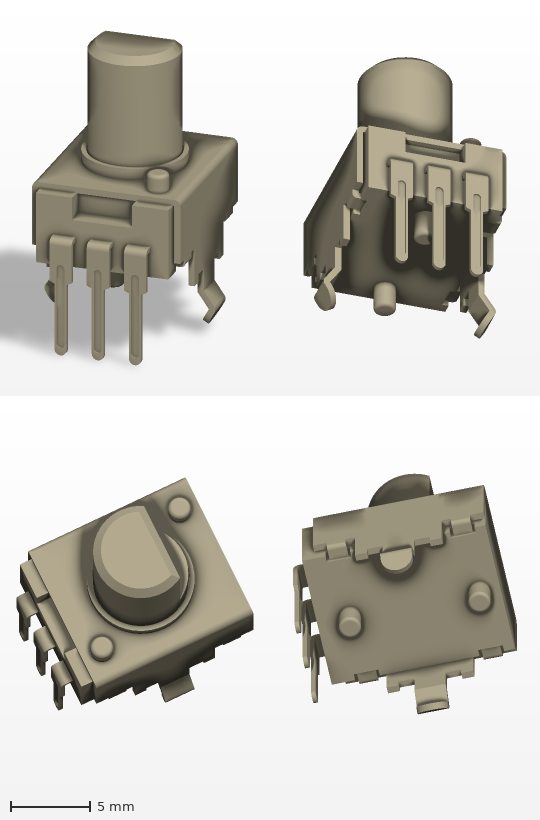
import cadquery as cq
import math


OVERALL_HEIGHT = 18.99

COVER_WIDTH = 9.9
COVER_DEPTH = 11.01
SHEET = 0.42
FOLD_RADIUS = 0.4
WALL_BOTTOM = -4.31

SKIRT_WIDTH = 5.58
SKIRT_BOTTOM = -6.87
NOTCH_WIDTH = 4.03
NOTCH_TOP = -6.36

CLIP_WIDTH = 2.01
CLIP_REACH = 5.7
CLIP_BEND_Z = -8.01
CLIP_TIP_LENGTH = 1.27
LEG_ANGLE = math.radians(55)
TIP_ANGLE = math.radians(60)

TAB_WIDTH = 1.22
TAB_SPACING = 8.01
TAB_TOP = -4.48
TAB_RADIUS = 0.28
TAB_GROOVE_WIDTH = 1.6
TAB_GROOVE_TOP = -4.45
TAB_GROOVE_DEPTH = SHEET

HOUSING_WIDTH = 8.85
HOUSING_BACK = COVER_DEPTH / 2
HOUSING_FRONT = -6.3
HOUSING_TOP = -SHEET
HOUSING_BOTTOM = -5.13
POCKET_WIDTH = 3.99
POCKET_FLOOR = -1.94
POCKET_DEPTH = 1.3

SHAFT_RADIUS = 3.0
SHAFT_TOP = 8.09
SHAFT_CHAMFER = 0.5
FLAT_OFFSET = 1.5
FLAT_BOTTOM = 2.13
COLLAR_RADIUS = 3.4
COLLAR_HEIGHT = 0.76
SHAFT_CLEARANCE = 0.08

PEG_RADIUS = 0.7
PEG_Y = 4.18
TOP_PEG_X = 3.0
TOP_PEG_HEIGHT = 1.18
TOP_PEG_ROUND = 0.25
BOTTOM_PEG_LENGTH = 1.73
BOTTOM_PEG_ROUND = 0.2

TERMINAL_COUNT = 3
TERMINAL_PITCH = 2.49
TERMINAL_SHEET = 0.28
TERMINAL_FRONT = -7.14
TERMINAL_TOP = -3.05
TERMINAL_BOTTOM = SHAFT_TOP - OVERALL_HEIGHT
BEND_RADIUS = 0.4
SHOULDER_WIDTH = 1.48
SHOULDER_BOTTOM = -5.9
PIN_WIDTH = 0.8
PIN_TOP = -6.05
GROOVE_WIDTH = 0.51
GROOVE_TOP = -4.75
GROOVE_BOTTOM = -10.4
GROOVE_DEPTH = 0.13


def block(x_range, y_range, z_range):
    """Box between two limits on each axis."""
    size = [high - low for low, high in (x_range, y_range, z_range)]
    corner = (x_range[0], y_range[0], z_range[0])
    return cq.Workplane("XY").box(*size, centered=False).translate(corner)


def centred_slab(width, y_range, z_range):
    """Box centred on X = 0."""
    return block((-width / 2, width / 2), y_range, z_range)


def make_spring_clip():
    """Clip on the +X side: a kinked strip with a round-ended tip."""
    outer_x = COVER_WIDTH / 2
    inner_x = outer_x - SHEET
    elbow_x = CLIP_REACH - SHEET
    elbow_z = CLIP_BEND_Z - (elbow_x - inner_x) * math.tan(LEG_ANGLE)
    outer_bend_z = CLIP_BEND_Z + SHEET * math.tan((math.pi / 2 - LEG_ANGLE) / 2)
    tip_dx = math.cos(TIP_ANGLE)
    tip_dz = -math.sin(TIP_ANGLE)

    def elbow_point(angle):
        """Point on the outside of the elbow, an arc centred on its inside corner."""
        return (elbow_x + SHEET * math.cos(angle), elbow_z + SHEET * math.sin(angle))

    def along_tip(start, distance):
        """Point a given distance from the start towards the end of the tip."""
        return (start[0] - distance * tip_dx, start[1] + distance * tip_dz)

    arc_start = elbow_point(math.pi / 2 - LEG_ANGLE)
    arc_end = elbow_point(TIP_ANGLE - math.pi / 2)
    inner_tip = along_tip((elbow_x, elbow_z), CLIP_TIP_LENGTH)
    outer_tip = along_tip(arc_end, CLIP_TIP_LENGTH)

    strip = (
        cq.Workplane("XZ")
        .moveTo(inner_x, NOTCH_TOP)
        .lineTo(outer_x, NOTCH_TOP)
        .lineTo(outer_x, outer_bend_z)
        .lineTo(*arc_start)
        .threePointArc(elbow_point(0), arc_end)
        .lineTo(*outer_tip)
        .lineTo(*inner_tip)
        .lineTo(elbow_x, elbow_z)
        .lineTo(inner_x, CLIP_BEND_Z)
        .close()
        .extrude(CLIP_WIDTH / 2, both=True)
    )
    half_width = CLIP_WIDTH / 2
    round_x, round_z = along_tip((elbow_x, elbow_z), CLIP_TIP_LENGTH - half_width)
    tip_plane = cq.Plane(
        origin=(round_x, 0, round_z),
        xDir=(-tip_dx, 0, tip_dz),
        normal=(-tip_dz, 0, -tip_dx),
    )
    cut_depth = 2 * SHEET
    corners = (
        cq.Workplane(tip_plane)
        .center(half_width / 2, 0)
        .rect(half_width, CLIP_WIDTH)
        .extrude(cut_depth, both=True)
        .cut(cq.Workplane(tip_plane).circle(half_width).extrude(cut_depth, both=True))
    )
    return strip.cut(corners)


def make_cover_wall():
    """Wall on the +X side with its skirt, folded tabs and spring clip."""
    outer_x = COVER_WIDTH / 2
    inner_x = outer_x - SHEET
    sheet_x = (inner_x, outer_x)

    wall = block(sheet_x, (-COVER_DEPTH / 2, COVER_DEPTH / 2), (WALL_BOTTOM, -SHEET))
    skirt = block(sheet_x, (-SKIRT_WIDTH / 2, SKIRT_WIDTH / 2), (SKIRT_BOTTOM, WALL_BOTTOM))
    notch = block(sheet_x, (-NOTCH_WIDTH / 2, NOTCH_WIDTH / 2), (SKIRT_BOTTOM, NOTCH_TOP))
    wall = wall.union(skirt.cut(notch)).union(make_spring_clip())

    tab_bottom = TAB_TOP - SHEET
    groove_floor_x = HOUSING_WIDTH / 2 - TAB_GROOVE_DEPTH
    for y in (-TAB_SPACING / 2, TAB_SPACING / 2):
        tab_y = (y - TAB_WIDTH / 2, y + TAB_WIDTH / 2)
        fold = block((groove_floor_x, outer_x), tab_y, (tab_bottom, TAB_TOP))
        fold = fold.edges("|Y and >X and <Z").fillet(TAB_RADIUS)
        drop = block(sheet_x, tab_y, (TAB_TOP, WALL_BOTTOM))
        wall = wall.union(fold).union(drop)
    return wall


def make_cover():
    """Folded sheet cover, open at the front and the back."""
    top = centred_slab(COVER_WIDTH, (-COVER_DEPTH / 2, COVER_DEPTH / 2), (-SHEET, 0))
    top = top.edges("|Y and >Z").fillet(FOLD_RADIUS)
    wall = make_cover_wall()
    return top.union(wall).union(wall.mirror("YZ"))


def make_housing_block():
    """Moulded block with the front pocket and the grooves for the cover tabs."""
    body = centred_slab(
        HOUSING_WIDTH, (HOUSING_FRONT, HOUSING_BACK), (HOUSING_BOTTOM, HOUSING_TOP)
    )
    pocket = centred_slab(
        POCKET_WIDTH, (HOUSING_FRONT, HOUSING_FRONT + POCKET_DEPTH), (POCKET_FLOOR, HOUSING_TOP)
    )
    body = body.cut(pocket)
    side_x = HOUSING_WIDTH / 2
    for y in (-TAB_SPACING / 2, TAB_SPACING / 2):
        groove = block(
            (side_x - TAB_GROOVE_DEPTH, side_x),
            (y - TAB_GROOVE_WIDTH / 2, y + TAB_GROOVE_WIDTH / 2),
            (HOUSING_BOTTOM, TAB_GROOVE_TOP),
        )
        body = body.cut(groove).cut(groove.mirror("YZ"))
    return body


def make_top_peg(x, y):
    """Round-topped peg standing on the cover."""
    peg = cq.Workplane("XY").circle(PEG_RADIUS).extrude(TOP_PEG_HEIGHT)
    return peg.faces(">Z").edges().fillet(TOP_PEG_ROUND).translate((x, y, 0))


def make_bottom_peg(y):
    """Round-ended locating peg below the housing."""
    peg = cq.Workplane("XY").circle(PEG_RADIUS).extrude(-BOTTOM_PEG_LENGTH)
    return peg.faces("<Z").edges().fillet(BOTTOM_PEG_ROUND).translate((0, y, HOUSING_BOTTOM))


def make_terminal(x):
    """Bent strip with a shouldered, round-ended pin and a groove in its front."""
    strip = (
        cq.Workplane("YZ")
        .moveTo(HOUSING_FRONT, TERMINAL_TOP)
        .lineTo(TERMINAL_FRONT, TERMINAL_TOP)
        .lineTo(TERMINAL_FRONT, TERMINAL_BOTTOM)
        .lineTo(TERMINAL_FRONT + TERMINAL_SHEET, TERMINAL_BOTTOM)
        .lineTo(TERMINAL_FRONT + TERMINAL_SHEET, TERMINAL_TOP - TERMINAL_SHEET)
        .lineTo(HOUSING_FRONT, TERMINAL_TOP - TERMINAL_SHEET)
        .close()
        .extrude(SHOULDER_WIDTH / 2, both=True)
    )
    strip = strip.edges("|X and <Y and >Z").fillet(BEND_RADIUS)
    inner_bend = cq.selectors.NearestToPointSelector(
        (0, TERMINAL_FRONT + TERMINAL_SHEET, TERMINAL_TOP - TERMINAL_SHEET)
    )
    strip = strip.edges(inner_bend).fillet(BEND_RADIUS - TERMINAL_SHEET)

    pin_end_z = TERMINAL_BOTTOM + PIN_WIDTH / 2
    outline = (
        cq.Workplane("XZ", origin=(0, HOUSING_FRONT, 0))
        .moveTo(-SHOULDER_WIDTH / 2, TERMINAL_TOP)
        .lineTo(SHOULDER_WIDTH / 2, TERMINAL_TOP)
        .lineTo(SHOULDER_WIDTH / 2, SHOULDER_BOTTOM)
        .lineTo(PIN_WIDTH / 2, PIN_TOP)
        .lineTo(PIN_WIDTH / 2, pin_end_z)
        .threePointArc((0, TERMINAL_BOTTOM), (-PIN_WIDTH / 2, pin_end_z))
        .lineTo(-PIN_WIDTH / 2, PIN_TOP)
        .lineTo(-SHOULDER_WIDTH / 2, SHOULDER_BOTTOM)
        .close()
        .extrude(HOUSING_FRONT - TERMINAL_FRONT)
    )
    groove = (
        cq.Workplane("XZ", origin=(0, TERMINAL_FRONT, (GROOVE_TOP + GROOVE_BOTTOM) / 2))
        .slot2D(GROOVE_TOP - GROOVE_BOTTOM, GROOVE_WIDTH, 90)
        .extrude(-GROOVE_DEPTH)
    )
    return strip.intersect(outline).cut(groove).translate((x, 0, 0))


def make_housing():
    """Fixed body: block, cover, collar, pegs and terminals in one piece."""
    body = make_housing_block().union(make_cover())
    collar = (
        cq.Workplane("XY")
        .circle(COLLAR_RADIUS)
        .circle(SHAFT_RADIUS + SHAFT_CLEARANCE)
        .extrude(COLLAR_HEIGHT)
    )
    body = body.union(collar)
    for side in (-1, 1):
        body = body.union(make_top_peg(side * TOP_PEG_X, -side * PEG_Y))
        body = body.union(make_bottom_peg(side * PEG_Y))
    for index in range(TERMINAL_COUNT):
        x = (index - (TERMINAL_COUNT - 1) / 2) * TERMINAL_PITCH
        body = body.union(make_terminal(x))
    return body


def make_shaft():
    """Round shaft with a flat on its back and a chamfered top."""
    post = cq.Workplane("XY").circle(SHAFT_RADIUS).extrude(SHAFT_TOP)
    flat = centred_slab(
        2 * SHAFT_RADIUS, (FLAT_OFFSET, SHAFT_RADIUS), (FLAT_BOTTOM, SHAFT_TOP)
    )
    return post.cut(flat).faces(">Z").edges().chamfer(SHAFT_CHAMFER)


housing = make_housing()
shaft = make_shaft()

result = cq.Compound.makeCompound([housing.val(), shaft.val()])